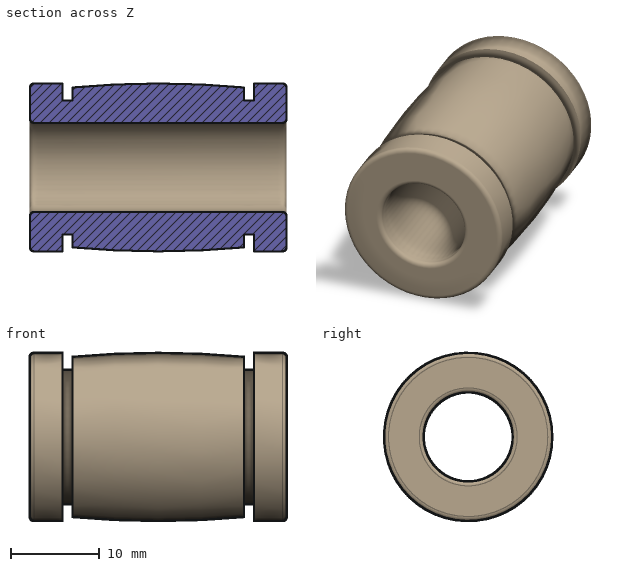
import cadquery as cq

length = 29.0
outer_diameter = 19.0
bore_diameter = 10.0
groove_diameter = 15.2
collar_width = 3.7
groove_width = 1.1
barrel_end_diameter = 18.1
edge_radius = 0.52

half_length = length / 2
groove_outer_x = half_length - collar_width
barrel_end_x = groove_outer_x - groove_width
outer_radius = outer_diameter / 2
bore_radius = bore_diameter / 2
groove_radius = groove_diameter / 2
barrel_end_radius = barrel_end_diameter / 2


def make_sleeve():
    """Revolve the half section: two end collars, two grooves and a crowned barrel."""
    section = (
        cq.Workplane("XY")
        .moveTo(-half_length, bore_radius)
        .lineTo(-half_length, outer_radius)
        .lineTo(-groove_outer_x, outer_radius)
        .lineTo(-groove_outer_x, groove_radius)
        .lineTo(-barrel_end_x, groove_radius)
        .lineTo(-barrel_end_x, barrel_end_radius)
        .threePointArc((0, outer_radius), (barrel_end_x, barrel_end_radius))
        .lineTo(barrel_end_x, groove_radius)
        .lineTo(groove_outer_x, groove_radius)
        .lineTo(groove_outer_x, outer_radius)
        .lineTo(half_length, outer_radius)
        .lineTo(half_length, bore_radius)
        .close()
    )
    return section.revolve(360, (0, 0, 0), (1, 0, 0))


result = make_sleeve().faces("<X or >X").edges().fillet(edge_radius)